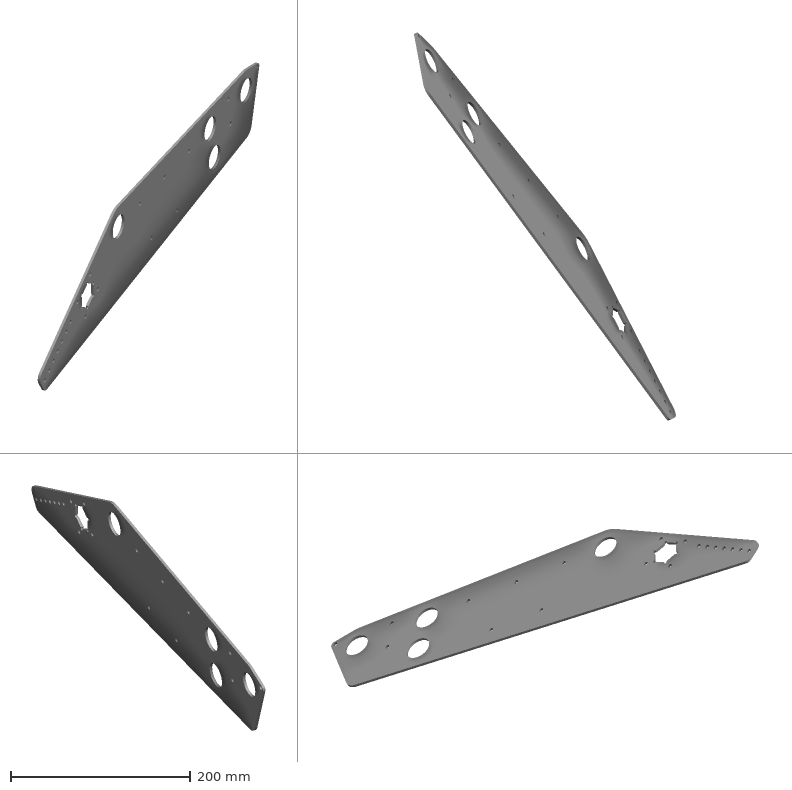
import cadquery as cq
import math

thickness = 3.2
height = 141.0
top_z = height / 2

outline_corners = [
    ((238.0, top_z), 25.5),
    ((272.0, 62.0), 5.5),
    ((249.0, -19.0), 13.0),
    ((-258.0, -71.0), 6.5),
    ((-274.0, -46.5), 9.5),
    ((-83.0, top_z), 25.5),
]

opening_diameter = 28.5
opening_row_z = 44.0
openings = [(238.5, opening_row_z), (149.5, opening_row_z), (-76.5, opening_row_z), (160.5, -0.5)]

bolt_diameter = 5.1
upper_row_z = 44.5
upper_row_pitch = 60.5
upper_row_start_y = 96.5
lower_row_z = -18.0
bolt_holes = [(265.5, 59.5), (194.0, 57.5), (199.5, 21.5), (68.0, lower_row_z), (4.5, lower_row_z)]
bolt_holes += [(upper_row_start_y - i * upper_row_pitch, upper_row_z) for i in range(3)]

slant_count = 7
slant_length = 75.5
slant_pitch = slant_length / (slant_count - 1)
slant_angle = 32.5
slant_start = (-195.0, -14.5)

hex_center = (-153.0, -4.0)
hex_flats = 28.0
hex_corner_radius = hex_flats / math.sqrt(3)
relief_diameter = 4.0
bolt_ring_radius = 25.5
bolt_ring_angle = 13.0


def polar(center, radius, degrees):
    """Point at a radius and angle around a centre in the plate plane."""
    angle = math.radians(degrees)
    return (center[0] + radius * math.cos(angle), center[1] + radius * math.sin(angle))


def drill(plate, points, diameter):
    """Cut round through holes at the given points."""
    holes = cq.Workplane("YZ").pushPoints(points).circle(diameter / 2).extrude(thickness, both=True)
    return plate.cut(holes)


def make_plate():
    """Extrude the outline and round each of its corners."""
    corners = [point for point, _ in outline_corners]
    plate = cq.Workplane("YZ").polyline(corners).close().extrude(thickness / 2, both=True)
    for (y, z), radius in outline_corners:
        corner_edge = cq.selectors.NearestToPointSelector((0, y, z))
        plate = plate.edges("|X").edges(corner_edge).fillet(radius)
    return plate


def cut_hexagon(plate):
    """Cut the hexagon, which has a corner pointing up, and its corner reliefs."""
    corners = [polar(hex_center, hex_corner_radius, 30 + 60 * i) for i in range(6)]
    hexagon = cq.Workplane("YZ").polyline(corners).close().extrude(thickness, both=True)
    return drill(plate.cut(hexagon), corners, relief_diameter)


slant_holes = [polar(slant_start, i * slant_pitch, 180 + slant_angle) for i in range(slant_count)]
ring_holes = [polar(hex_center, bolt_ring_radius, 90 * i - bolt_ring_angle) for i in range(4)]

result = make_plate()
result = drill(result, openings, opening_diameter)
result = drill(result, bolt_holes + slant_holes + ring_holes, bolt_diameter)
result = cut_hexagon(result)